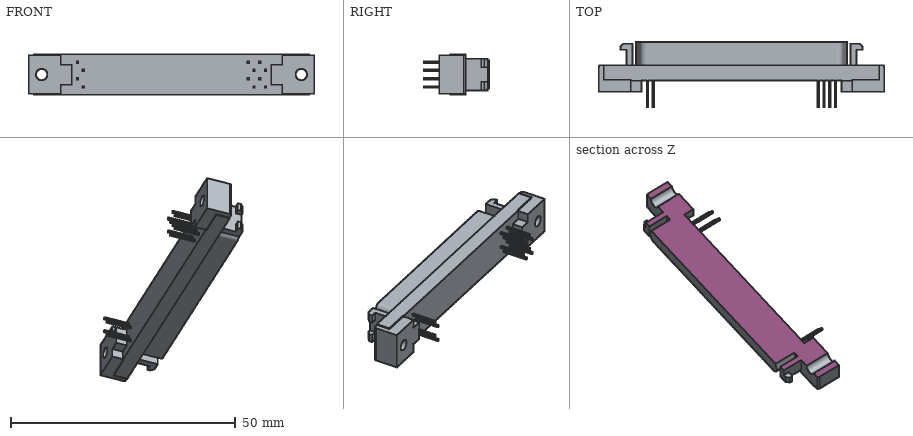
import cadquery as cq
import math

LENGTH = 63.75
DEPTH = 14.6
HEIGHT = 9.1
MATING_Y = DEPTH / 2
PIN_TIP_Y = -DEPTH / 2

BAR_HEIGHT = 8.7
BAR_BACK_Y = MATING_Y - 5.2
BAR_FRONT_Y = MATING_Y - 8.7
BAND_LENGTH = 61.3
BAND_FRONT_Y = MATING_Y - 8.5
END_CHAMFER_X = 0.2
END_CHAMFER_Y = 0.5

BLOCK_FRONT_Y = MATING_Y - 11.15
BLOCK_INNER_X = 24.7
TONGUE_INNER_X = 22.25
TONGUE_HEIGHT = 4.45
HOLE_X = 28.95
HOLE_DIAMETER = 2.5

SHELL_LENGTH = 47.1
SHELL_HEIGHT = 6.4
SHELL_RADIUS = 1.4
SHELL_SLANT = math.radians(15)

LATCH_TIP_Y = MATING_Y - 0.4
LATCH_HEIGHT = 7.15
LATCH_INNER_X = 24.3
LATCH_OUTER_X = 25.7
HOOK_OUTER_X = 27.0
HOOK_DEPTH = 1.4
HOOK_HEIGHT = 1.9
HOOK_CHAMFER = 0.7

PIN_SIZE = 0.4
PIN_COLUMNS = 34
PIN_ROW_LENGTH = 41.9
PIN_COLUMN_PITCH = PIN_ROW_LENGTH / (PIN_COLUMNS - 1)
PIN_ROWS = 4
PIN_ROW_PITCH = 1.85
LEFT_COLUMNS = 2
RIGHT_COLUMNS = 4


def box(x_range, y_range, height):
    """Box between two X and two Y limits, centred on Z = 0."""
    (x0, x1), (y0, y1) = x_range, y_range
    return (
        cq.Workplane("XY")
        .box(x1 - x0, y1 - y0, height)
        .translate(((x0 + x1) / 2, (y0 + y1) / 2, 0))
    )


def both_ends(solid):
    """The given +X end feature together with its mirror image at -X."""
    return solid.union(solid.mirror("YZ"))


def make_bar():
    half = LENGTH / 2
    profile = [
        (-half, BAR_FRONT_Y),
        (half, BAR_FRONT_Y),
        (half, BAR_BACK_Y - END_CHAMFER_Y),
        (half - END_CHAMFER_X, BAR_BACK_Y),
        (-half + END_CHAMFER_X, BAR_BACK_Y),
        (-half, BAR_BACK_Y - END_CHAMFER_Y),
    ]
    bar = cq.Workplane("XY").polyline(profile).close().extrude(BAR_HEIGHT / 2, both=True)
    band = box((-BAND_LENGTH / 2, BAND_LENGTH / 2), (BAND_FRONT_Y, BAR_BACK_Y), HEIGHT)
    core = box((-BLOCK_INNER_X, BLOCK_INNER_X), (BAR_FRONT_Y, BAR_BACK_Y), HEIGHT)
    return bar.union(band).union(core)


def make_blocks():
    y_range = (BLOCK_FRONT_Y, BAR_FRONT_Y)
    block = box((BLOCK_INNER_X, LENGTH / 2), y_range, BAR_HEIGHT)
    tongue = box((TONGUE_INNER_X, BLOCK_INNER_X), y_range, TONGUE_HEIGHT)
    return both_ends(block.union(tongue))


def make_mounting_holes():
    hole = (
        cq.Workplane("XZ", origin=(HOLE_X, 0, 0))
        .circle(HOLE_DIAMETER / 2)
        .extrude(DEPTH, both=True)
    )
    return both_ends(hole)


def make_shell():
    slope = math.tan(SHELL_SLANT)
    corner_reach = SHELL_RADIUS * (1 / math.cos(SHELL_SLANT) + slope - 1)
    bottom_x = SHELL_LENGTH / 2 + corner_reach
    top_x = bottom_x - SHELL_HEIGHT * slope
    half_height = SHELL_HEIGHT / 2
    outline = [
        (-bottom_x, -half_height),
        (bottom_x, -half_height),
        (top_x, half_height),
        (-top_x, half_height),
    ]
    return (
        cq.Workplane("XZ", origin=(0, MATING_Y, 0))
        .polyline(outline)
        .close()
        .extrude(MATING_Y - BAR_BACK_Y)
        .edges("|Y")
        .fillet(SHELL_RADIUS)
    )


def make_latches():
    latch = box((LATCH_INNER_X, LATCH_OUTER_X), (BAR_BACK_Y, LATCH_TIP_Y), LATCH_HEIGHT)
    hook_profile = [
        (LATCH_OUTER_X, LATCH_TIP_Y),
        (HOOK_OUTER_X - HOOK_CHAMFER, LATCH_TIP_Y),
        (HOOK_OUTER_X, LATCH_TIP_Y - HOOK_CHAMFER),
        (HOOK_OUTER_X, LATCH_TIP_Y - HOOK_DEPTH),
        (LATCH_OUTER_X, LATCH_TIP_Y - HOOK_DEPTH),
    ]
    for bottom_z in (-LATCH_HEIGHT / 2, LATCH_HEIGHT / 2 - HOOK_HEIGHT):
        hook = (
            cq.Workplane("XY", origin=(0, 0, bottom_z))
            .polyline(hook_profile)
            .close()
            .extrude(HOOK_HEIGHT)
        )
        latch = latch.union(hook)
    return both_ends(latch)


def make_pins():
    columns = list(range(LEFT_COLUMNS))
    columns += range(PIN_COLUMNS - RIGHT_COLUMNS, PIN_COLUMNS)
    points = []
    for column in columns:
        x = (column - (PIN_COLUMNS - 1) / 2) * PIN_COLUMN_PITCH
        first_row = (column + 1) % 2
        for row in range(first_row, PIN_ROWS, 2):
            points.append((x, (row - (PIN_ROWS - 1) / 2) * PIN_ROW_PITCH))
    return (
        cq.Workplane("XZ", origin=(0, BAR_FRONT_Y, 0))
        .pushPoints(points)
        .rect(PIN_SIZE, PIN_SIZE)
        .extrude(BAR_FRONT_Y - PIN_TIP_Y)
    )


result = (
    make_bar()
    .union(make_blocks())
    .union(make_shell())
    .union(make_latches())
    .union(make_pins())
    .cut(make_mounting_holes())
)